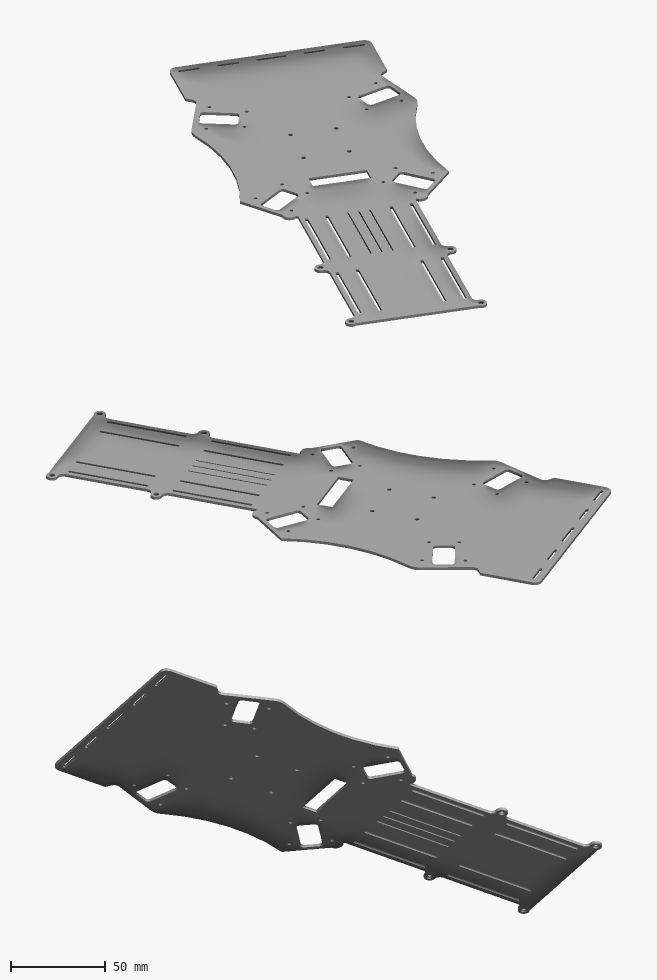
import cadquery as cq
import math

thickness = 1.62
cut_depth = 2 * thickness

length = 284.5

front_half_width = 55.2
front_corner_radius = 4.0
shoulder_x = 33.0
notch = (36.7, 50.0)
notch_radius = 3.0
front_tip = (68.3, 62.3)
front_tip_radius = 8.5
waist = (112.0, 52.0)
rear_tip = (144.2, 57.2)
rear_corner_start = (164.2, 39.8)
rear_corner_middle = (167.0, 38.7)
rear_corner_end = (168.1, 36.5)
relief_radius = 0.9

tail_half_width = 32.1
tail_end_x = 284.0
ear_radius = 3.0
ear_hole_diameter = 3.0
ear_y = 35.5
end_ear_x = length - ear_radius
ear_pitch = 58.5
ear_xs = (end_ear_x - ear_pitch, end_ear_x)
ear_root_half_width = 6.3

slot_length = 44.7
strap_slot_width = 1.7
vent_slot_width = 0.9
front_slot_x = 193.8
rear_slot_x = front_slot_x + ear_pitch
strap_slot_ys = (17.5, 28.7)
vent_pitch = 6.0

edge_slot_x = 4.5
edge_slot_width = 1.7
edge_slots = ((-45.2, 12.0), (-23.5, 12.0), (0, 16.5), (23.5, 12.0), (45.2, 12.0))

window_x = 135.5
window_size_x = 8.5
window_size_y = 32.0
square_x = 97.3
square_pitch = 25.0
square_hole_diameter = 2.5

front_mount = (59.2, 40.0)
front_mount_lean = 20
rear_mount = (146.0, 33.5)
rear_mount_lean = -40
mount_window_width = 11.7
mount_window_length = 20.8
mount_window_radius = 2.0
mount_window_offset = 4.0
mount_hole_diameter = 2.05
mount_row_offset = 10.0
outer_hole_offset = 11.5
inner_hole_offset = 8.0


def half_body():
    """Half of the plate on the +Y side, without the ears."""
    half = (
        cq.Workplane("XY")
        .moveTo(0, 0)
        .lineTo(0, front_half_width)
        .lineTo(shoulder_x, front_half_width)
        .lineTo(*notch)
        .lineTo(*front_tip)
        .threePointArc(waist, rear_tip)
        .lineTo(*rear_corner_start)
        .threePointArc(rear_corner_middle, rear_corner_end)
        .lineTo(rear_corner_end[0], tail_half_width)
        .lineTo(tail_end_x, tail_half_width)
        .lineTo(tail_end_x, 0)
        .close()
        .extrude(thickness)
    )
    rounded_corners = (
        ((0, front_half_width), front_corner_radius),
        (notch, notch_radius),
        (front_tip, front_tip_radius),
    )
    for (x, y), radius in rounded_corners:
        half = half.edges(cq.selectors.NearestToPointSelector((x, y, thickness / 2))).fillet(radius)
    return half


def ear(x):
    """Screw ear with a root that flares into the tail edge by concave arcs."""
    flare = ear_root_half_width - ear_radius
    bend = flare * (1 - math.sqrt(0.5))
    left = x - ear_radius
    right = x + ear_radius
    root_y = tail_half_width
    flare_y = root_y + flare
    root = (
        cq.Workplane("XY")
        .moveTo(left - flare, root_y)
        .threePointArc((left - bend, root_y + bend), (left, flare_y))
        .lineTo(left, ear_y)
        .threePointArc((x, ear_y + ear_radius), (right, ear_y))
    )
    if x == end_ear_x:
        curl = math.sqrt(ear_radius**2 - (tail_end_x - x) ** 2)
        root = root.radiusArc((tail_end_x, ear_y - curl), ear_radius)
        root = root.lineTo(tail_end_x, root_y)
    else:
        root = root.lineTo(right, flare_y)
        root = root.threePointArc((right + bend, root_y + bend), (right + flare, root_y))
    return root.lineTo(x, root_y - ear_radius).close().extrude(thickness)


def cut_holes(body, points, diameter):
    cutter = cq.Workplane("XY").pushPoints(points).circle(diameter / 2).extrude(cut_depth, both=True)
    return body.cut(cutter)


def cut_rectangles(body, points, size_x, size_y):
    cutter = cq.Workplane("XY").pushPoints(points).rect(size_x, size_y).extrude(cut_depth, both=True)
    return body.cut(cutter)


def mount_cutter(centre, lean):
    """Window and screw holes of one arm mount, turned by lean degrees about its centre."""
    window = (
        cq.Workplane("XY")
        .center(0, mount_window_offset)
        .rect(mount_window_width, mount_window_length)
        .extrude(cut_depth, both=True)
        .edges("|Z")
        .fillet(mount_window_radius)
    )
    points = []
    for side in (-1, 1):
        points.append((side * outer_hole_offset, mount_row_offset))
        points.append((side * inner_hole_offset, -mount_row_offset))
    holes = cq.Workplane("XY").pushPoints(points).circle(mount_hole_diameter / 2).extrude(cut_depth, both=True)
    return window.union(holes).rotate((0, 0, 0), (0, 0, 1), lean).translate((*centre, 0))


half_plate = half_body()
for ear_x in ear_xs:
    half_plate = half_plate.union(ear(ear_x))
half_plate = cut_holes(half_plate, [(x, ear_y) for x in ear_xs], ear_hole_diameter)
half_plate = cut_holes(half_plate, [(rear_corner_end[0], tail_half_width + relief_radius)], 2 * relief_radius)
half_plate = half_plate.cut(mount_cutter(front_mount, front_mount_lean))
half_plate = half_plate.cut(mount_cutter(rear_mount, rear_mount_lean))
result = half_plate.union(half_plate.mirror("XZ"))

strap_points = []
for slot_x in (front_slot_x, rear_slot_x):
    for slot_y in strap_slot_ys:
        strap_points += [(slot_x, slot_y), (slot_x, -slot_y)]
result = cut_rectangles(result, strap_points, slot_length, strap_slot_width)
vent_points = [(front_slot_x, row * vent_pitch) for row in (-1, 0, 1)]
result = cut_rectangles(result, vent_points, slot_length, vent_slot_width)

for slot_y, edge_slot_length in edge_slots:
    slot = cq.Workplane("XY").center(edge_slot_x, slot_y).slot2D(edge_slot_length, edge_slot_width, 90)
    result = result.cut(slot.extrude(cut_depth, both=True))

result = cut_rectangles(result, [(window_x, 0)], window_size_x, window_size_y)
half_pitch = square_pitch / 2
square_points = [(square_x + i * half_pitch, j * half_pitch) for i in (-1, 1) for j in (-1, 1)]
result = cut_holes(result, square_points, square_hole_diameter)